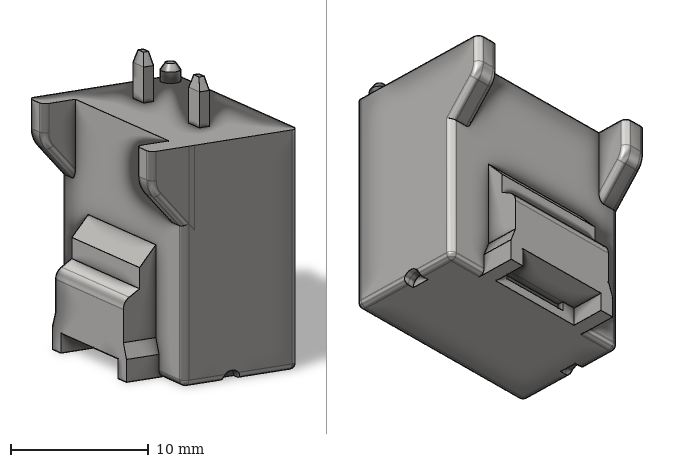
import cadquery as cq
import math

BODY_WIDTH = 17.22
BODY_DEPTH = 9.7
BODY_HEIGHT = 18.1
TOTAL_DEPTH = 12.45
TOTAL_HEIGHT = 21.8
EDGE_RADIUS = 0.5
OVERHANG = TOTAL_DEPTH - BODY_DEPTH
FRONT_Y = -BODY_DEPTH
FOREMOST_Y = -TOTAL_DEPTH

EAR_WIDTH = 2.0
EAR_BASE_Z = 12.08
EAR_SLOPE_ANGLE = 48.0
EAR_BEND_RADIUS = 2.0

LATCH_WIDTH = 9.6
LATCH_FOOT_WIDTH = 10.49
LATCH_FOOT_Z = 1.72
LATCH_NECK_Z = 2.88
LATCH_TOP_Z = 9.85
LATCH_STEP_DEPTH = 1.37
LATCH_STEP_TOP_Z = 8.33
LATCH_STEP_BOTTOM_Z = 6.74
LATCH_NOSE_ANGLE = 30.0
LATCH_NOSE_RADIUS = 0.98

NOTCH_WIDTH = 8.07
NOTCH_HEIGHT = 1.5
POCKET_WIDTH = 5.75
POCKET_BASE_Z = 0.75
POCKET_DEPTH = 0.5

PIN_PITCH = 7.9
PIN_Y = -5.55
PIN_WIDTH = 1.53
PIN_THICKNESS = 0.83
PIN_TIP_WIDTH = 0.76
PIN_TIP_THICKNESS = 0.44
PIN_TIP_HEIGHT = 1.0

PEG_INSET = 1.2
PEG_DIAMETER = 1.5
PEG_HEIGHT = 1.4
PEG_CHAMFER = 0.37
PEG_CHAMFER_HEIGHT = 0.55

SIDE_NOTCH_RADIUS = 0.75
SIDE_NOTCH_DEPTH = 1.0


def box(width, depth, height, x_center, y_front, z_base):
    """Box centred on x_center, reaching back from y_front and up from z_base."""
    corner = (x_center - width / 2, y_front, z_base)
    return cq.Workplane("XY").box(width, depth, height, centered=False).translate(corner)


def extrude_side_profile(profile, width, x_center):
    """Extrude a YZ outline by width, centred on x_center."""
    return profile.extrude(width / 2, both=True).translate((x_center, 0, 0))


def make_body():
    body = box(BODY_WIDTH, BODY_DEPTH, BODY_HEIGHT, 0, FRONT_Y, 0)
    return body.edges("|Z or <Z").fillet(EDGE_RADIUS)


def make_ear(x_center):
    root_depth = 2 * EDGE_RADIUS
    slope = math.tan(math.radians(EAR_SLOPE_ANGLE))
    bend_z = EAR_BASE_Z + OVERHANG * slope
    back_y = FRONT_Y + root_depth
    profile = (
        cq.Workplane("YZ")
        .moveTo(back_y, BODY_HEIGHT)
        .lineTo(FOREMOST_Y, BODY_HEIGHT)
        .lineTo(FOREMOST_Y, bend_z)
        .lineTo(back_y, EAR_BASE_Z - root_depth * slope)
        .close()
    )
    ear = extrude_side_profile(profile, EAR_WIDTH, x_center)
    bend = cq.selectors.NearestToPointSelector((x_center, FOREMOST_Y, bend_z))
    ear = ear.edges(bend).fillet(EAR_BEND_RADIUS)
    return ear.faces("<Y").edges("|Z").fillet(EDGE_RADIUS)


def make_latch():
    root_y = FRONT_Y + EDGE_RADIUS
    step_y = FRONT_Y - LATCH_STEP_DEPTH
    nose_drop = (OVERHANG - LATCH_STEP_DEPTH) * math.tan(math.radians(LATCH_NOSE_ANGLE))
    nose_z = LATCH_STEP_BOTTOM_Z - nose_drop
    profile = (
        cq.Workplane("YZ")
        .moveTo(root_y, 0)
        .lineTo(FOREMOST_Y, 0)
        .lineTo(FOREMOST_Y, nose_z)
        .lineTo(step_y, LATCH_STEP_BOTTOM_Z)
        .lineTo(step_y, LATCH_STEP_TOP_Z)
        .lineTo(FRONT_Y, LATCH_TOP_Z)
        .lineTo(root_y, LATCH_TOP_Z)
        .close()
    )
    latch = extrude_side_profile(profile, LATCH_FOOT_WIDTH, 0)
    nose = cq.selectors.NearestToPointSelector((0, FOREMOST_Y, nose_z))
    latch = latch.edges(nose).fillet(LATCH_NOSE_RADIUS)

    half_foot = LATCH_FOOT_WIDTH / 2
    half_latch = LATCH_WIDTH / 2
    outline = (
        cq.Workplane("XZ")
        .moveTo(-half_foot, 0)
        .lineTo(half_foot, 0)
        .lineTo(half_foot, LATCH_FOOT_Z)
        .lineTo(half_latch, LATCH_NECK_Z)
        .lineTo(half_latch, LATCH_TOP_Z)
        .lineTo(-half_latch, LATCH_TOP_Z)
        .lineTo(-half_latch, LATCH_NECK_Z)
        .lineTo(-half_foot, LATCH_FOOT_Z)
        .close()
        .extrude(TOTAL_DEPTH)
    )
    return latch.intersect(outline)


def make_pin(x_center):
    shank_height = TOTAL_HEIGHT - BODY_HEIGHT - PIN_TIP_HEIGHT
    pin = (
        cq.Workplane("XY", origin=(x_center, PIN_Y, BODY_HEIGHT))
        .rect(PIN_WIDTH, PIN_THICKNESS)
        .extrude(shank_height)
    )
    tip = (
        cq.Workplane("XY", origin=(x_center, PIN_Y, BODY_HEIGHT + shank_height))
        .rect(PIN_WIDTH, PIN_THICKNESS)
        .workplane(offset=PIN_TIP_HEIGHT)
        .rect(PIN_TIP_WIDTH, PIN_TIP_THICKNESS)
        .loft(ruled=True)
    )
    return pin.union(tip)


def make_peg():
    center = (PEG_INSET - BODY_WIDTH / 2, -PEG_INSET, BODY_HEIGHT)
    peg = cq.Workplane("XY", origin=center).circle(PEG_DIAMETER / 2).extrude(PEG_HEIGHT)
    return peg.faces(">Z").chamfer(PEG_CHAMFER_HEIGHT, PEG_CHAMFER)


def make_side_notch(side):
    """Half-round cutter at the foot of one side face; side is -1 or 1."""
    x_center = side * (BODY_WIDTH - SIDE_NOTCH_DEPTH) / 2
    profile = cq.Workplane("YZ").center(PIN_Y, 0).circle(SIDE_NOTCH_RADIUS)
    return extrude_side_profile(profile, SIDE_NOTCH_DEPTH, x_center)


result = make_body().union(make_latch()).union(make_peg())
for side in (-1, 1):
    result = result.union(make_ear(side * (BODY_WIDTH - EAR_WIDTH) / 2))
    result = result.union(make_pin(side * PIN_PITCH / 2))
    result = result.cut(make_side_notch(side))

notch = box(NOTCH_WIDTH, OVERHANG, NOTCH_HEIGHT, 0, FOREMOST_Y, 0)
pocket = box(POCKET_WIDTH, POCKET_DEPTH, NOTCH_HEIGHT - POCKET_BASE_Z, 0, FRONT_Y, POCKET_BASE_Z)
result = result.cut(notch).cut(pocket)